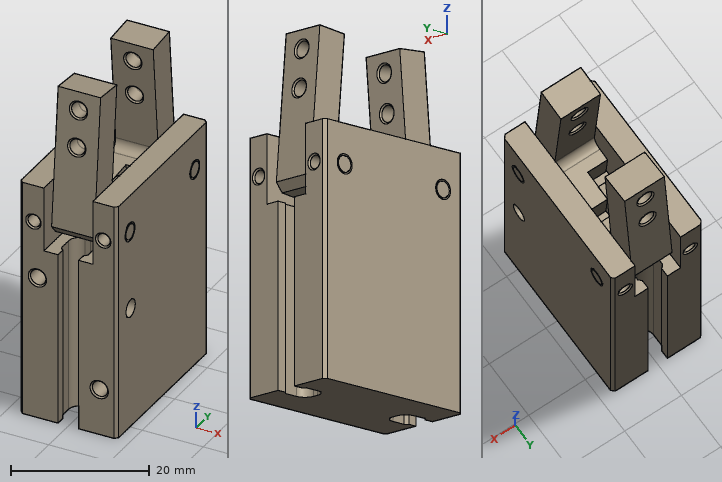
import cadquery as cq
import math

HOUSING_X = 16.0
HOUSING_Y = 28.0
HOUSING_Z = 39.0
CORNER_CHAMFER = 0.5
NOTCH_WIDTH = 8.0
NOTCH_FLOOR_Z = 28.4

SLOT_MOUTH_HALF = 1.7
SLOT_INNER_HALF = 2.2
SLOT_FLOOR_HALF = 0.45
SLOT_MOUTH_DEPTH = 1.45
SLOT_WALL_DEPTH = 4.2

HOLE_DIA = 2.5
HOLE_CHAMFER = 0.245
SET_SCREW_DIA = 2.0
SET_SCREW_X = 5.7
PORT_PLACES = [(-5.05, 23.55), (5.05, 7.6)]
PORT_DEPTH = 4.0
PORT_TIP_ANGLE = 118.0
ORIFICE_DIA = 1.0
ORIFICE_DEPTH = 1.1
CROSS_HOLE_Z = 19.9
CROSS_HOLE_DIA = 2.85
CROSS_HOLE_INSET = 4.2

OVERALL_Z = 54.55
TILT = 5.0
PIN_DIA = HOLE_DIA
PIN_Y = 10.0
PIN_Z = 32.9
FINGER_WIDTH = 7.0
FINGER_THICKNESS = 5.0
HEEL_CHAMFER = 1.3
ARM_TOP = 2.35
LONG_ARM_REACH = 11.0
SHORT_ARM_REACH = 6.0
ARM_FILLET = 1.5
TIP_HOLE_INSET = 3.0
TIP_HOLE_PITCH = 6.0
TIP_HOLE_COUNT = 2

finger_half = FINGER_THICKNESS / 2
tilt_sin = math.sin(math.radians(TILT))
tilt_cos = math.cos(math.radians(TILT))
finger_top = (OVERALL_Z - PIN_Z - finger_half * tilt_sin) / tilt_cos


def drill(start, direction, diameter, depth):
    """Cylinder cutter with a 45-degree countersink where it enters the face."""
    radius = diameter / 2
    start = cq.Vector(*start)
    direction = cq.Vector(*direction)
    bore = cq.Solid.makeCylinder(radius, depth, start, direction)
    sink = cq.Solid.makeCone(radius + HOLE_CHAMFER, radius, HOLE_CHAMFER, start, direction)
    return cq.Workplane(obj=bore).union(cq.Workplane(obj=sink))


def slot_cutter():
    """Full-height cutter for the sensor slot in the -Y face."""
    face = -HOUSING_Y / 2
    corner_radius = SLOT_INNER_HALF - SLOT_FLOOR_HALF
    mouth_end = face + SLOT_MOUTH_DEPTH
    inner_start = mouth_end + SLOT_INNER_HALF - SLOT_MOUTH_HALF
    wall_end = face + SLOT_WALL_DEPTH
    floor = wall_end + corner_radius
    arc_reach = corner_radius * math.sqrt(0.5)
    arc_x = SLOT_FLOOR_HALF + arc_reach
    arc_y = wall_end + arc_reach
    return (
        cq.Workplane("XY")
        .moveTo(-SLOT_MOUTH_HALF, face)
        .lineTo(SLOT_MOUTH_HALF, face)
        .lineTo(SLOT_MOUTH_HALF, mouth_end)
        .lineTo(SLOT_INNER_HALF, inner_start)
        .lineTo(SLOT_INNER_HALF, wall_end)
        .threePointArc((arc_x, arc_y), (SLOT_FLOOR_HALF, floor))
        .lineTo(-SLOT_FLOOR_HALF, floor)
        .threePointArc((-arc_x, arc_y), (-SLOT_INNER_HALF, wall_end))
        .lineTo(-SLOT_INNER_HALF, inner_start)
        .lineTo(-SLOT_MOUTH_HALF, mouth_end)
        .close()
        .extrude(HOUSING_Z)
    )


def port_cutter(x, z):
    """Air port: countersunk hole whose drill-tip cone leads to a small pointed orifice."""
    inward = cq.Vector(0, 1, 0)
    face = -HOUSING_Y / 2
    cone_slope = math.tan(math.radians(PORT_TIP_ANGLE / 2))
    port_radius = HOLE_DIA / 2
    orifice_radius = ORIFICE_DIA / 2
    cone_length = (port_radius - orifice_radius) / cone_slope
    cone_start = face + PORT_DEPTH
    orifice_start = cone_start + cone_length
    tip_start = orifice_start + ORIFICE_DEPTH

    cone = cq.Solid.makeCone(
        port_radius, orifice_radius, cone_length, cq.Vector(x, cone_start, z), inward
    )
    orifice = cq.Solid.makeCylinder(
        orifice_radius, ORIFICE_DEPTH, cq.Vector(x, orifice_start, z), inward
    )
    tip = cq.Solid.makeCone(
        orifice_radius, 0, orifice_radius / cone_slope, cq.Vector(x, tip_start, z), inward
    )
    cutter = drill((x, face, z), inward.toTuple(), HOLE_DIA, PORT_DEPTH)
    for section in (cone, orifice, tip):
        cutter = cutter.union(cq.Workplane(obj=section))
    return cutter


def make_housing():
    body = (
        cq.Workplane("XY")
        .box(HOUSING_X, HOUSING_Y, HOUSING_Z, centered=(True, True, False))
        .edges("|Z")
        .chamfer(CORNER_CHAMFER)
    )
    notch = (
        cq.Workplane("XY", origin=(0, 0, NOTCH_FLOOR_Z))
        .box(NOTCH_WIDTH, HOUSING_Y, HOUSING_Z - NOTCH_FLOOR_Z, centered=(True, True, False))
    )
    body = body.cut(notch)

    for turn in (0, 180):
        body = body.cut(slot_cutter().rotate((0, 0, 0), (0, 0, 1), turn))

    for y_side in (-1, 1):
        for x_side in (-1, 1):
            bore_start = (x_side * HOUSING_X / 2, y_side * PIN_Y, PIN_Z)
            body = body.cut(drill(bore_start, (-x_side, 0, 0), PIN_DIA, HOUSING_X / 2))
            screw_start = (x_side * SET_SCREW_X, y_side * HOUSING_Y / 2, PIN_Z)
            screw_depth = HOUSING_Y / 2 - PIN_Y
            body = body.cut(drill(screw_start, (0, -y_side, 0), SET_SCREW_DIA, screw_depth))

    for x, z in PORT_PLACES:
        body = body.cut(port_cutter(x, z))

    cross_start = cq.Vector(0, -HOUSING_Y / 2 + CROSS_HOLE_INSET, CROSS_HOLE_Z)
    cross_hole = cq.Solid.makeCylinder(CROSS_HOLE_DIA / 2, HOUSING_X / 2, cross_start, cq.Vector(1, 0, 0))
    return body.cut(cq.Workplane(obj=cross_hole))


def finger_half_plate(x_start, arm_reach):
    """Half the width of an upright finger, with the pin axis at the origin."""
    fillet_top = ARM_TOP + ARM_FILLET
    fillet_end = finger_half + ARM_FILLET
    fillet_sag = ARM_FILLET * (1 - math.sqrt(0.5))
    return (
        cq.Workplane("YZ", origin=(x_start, 0, 0))
        .moveTo(-finger_half, finger_top)
        .lineTo(finger_half, finger_top)
        .lineTo(finger_half, fillet_top)
        .threePointArc((finger_half + fillet_sag, ARM_TOP + fillet_sag), (fillet_end, ARM_TOP))
        .lineTo(arm_reach, ARM_TOP)
        .lineTo(arm_reach, -finger_half)
        .lineTo(-finger_half + HEEL_CHAMFER, -finger_half)
        .lineTo(-finger_half, -finger_half + HEEL_CHAMFER)
        .close()
        .extrude(FINGER_WIDTH / 2)
    )


def make_finger(turn):
    """Finger and its pin as one body, turned about Z to its side of the housing."""
    finger = finger_half_plate(-FINGER_WIDTH / 2, SHORT_ARM_REACH)
    finger = finger.union(finger_half_plate(0, LONG_ARM_REACH))
    for index in range(TIP_HOLE_COUNT):
        z = finger_top - TIP_HOLE_INSET - index * TIP_HOLE_PITCH
        for side in (-1, 1):
            hole_start = (0, side * finger_half, z)
            finger = finger.cut(drill(hole_start, (0, -side, 0), HOLE_DIA, finger_half))

    pin = cq.Workplane("YZ").circle(PIN_DIA / 2).extrude(HOUSING_X / 2, both=True)
    return (
        finger.union(pin)
        .rotate((0, 0, 0), (1, 0, 0), -TILT)
        .translate((0, -PIN_Y, PIN_Z))
        .rotate((0, 0, 0), (0, 0, 1), turn)
    )


housing = make_housing()
fingers = [make_finger(turn) for turn in (0, 180)]

result = cq.Compound.makeCompound([housing.val(), *[finger.val() for finger in fingers]])